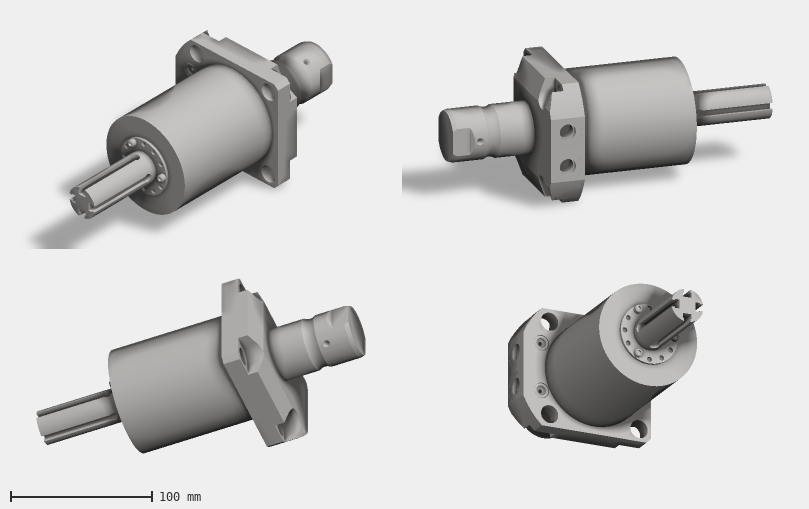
import cadquery as cq
import math


flange_thickness = 25.5
flange_half_size = 44.5
flange_left_reach = 55.7
flange_arc_radius = 60.5
flange_corner_chamfer = 3.5
back_bevel_width = 15.8
back_bevel_angle = 20

bolt_spacing = 35.0
bolt_hole_radius = 6.7
bolt_seat_radius = 9.8
bolt_seat_height = 12.5
seat_overrun = 2.5

port_offset = 13.0
port_mouth_radius = 6.0
port_mouth_depth = 3.4
port_radius = 5.3
port_depth = 12.0
port_spotface_radius = 10.5
port_spotface_depth = 0.2

seal_x = -41.3
seal_z = 18.0
seal_recess_radius = 5.8
seal_cord_radius = 1.2
seal_recess_depth = 2 * seal_cord_radius
passage_radius = 1.5
passage_depth = flange_thickness / 2

barrel_radius = 38.5
relief_groove_width = 0.5
relief_groove_depth = 0.7
barrel_length = 89.3
cover_radius = 22.3
cover_thickness = 2.2

cover_hole_count = 12
cover_circle_radius = 19.2
cover_hole_radius = 2.0
cover_hole_depth = cover_thickness
cover_screw_every = 4
screw_head_radius = 3.0
screw_head_height = 3.8
screw_head_chamfer = 0.7
screw_socket_width = 3.0
screw_socket_depth = 1.7

slotted_rod_radius = 12.5
slotted_rod_length = 63.1
slot_count = 4
slot_width = 5.0
slot_floor = 6.2
slot_step = 9.8
slot_pocket_radius = 3.4
slot_pocket_distance = 8.6

clamp_rod_radius = 19.2
clamp_rod_length = 60.0
clamp_rod_chamfer_length = 3.1
clamp_rod_chamfer_depth = 1.0
clamp_groove_start = 25.5
clamp_groove_width = 9.4
clamp_groove_depth = 1.5
flat_half_width = 16.3
flat_length = 12.7
dimple_radius = 2.6
dimple_distance = 19.5
dimple_angles = (60, 180, 300)

barrel_end = -barrel_length
cover_face = barrel_end - cover_thickness
clamp_rod_end = flange_thickness + clamp_rod_length

TOWARD_BACK = cq.Vector(0, 1, 0)


def cylinder_y(radius, y_start, y_end, x=0, z=0):
    """Cylinder parallel to Y between two stations."""
    start = cq.Vector(x, y_start, z)
    return cq.Workplane(cq.Solid.makeCylinder(radius, y_end - y_start, start, TOWARD_BACK))


def box_between(x_range, y_range, z_range):
    """Box given by its two limits along each axis."""
    ranges = (x_range, y_range, z_range)
    sizes = [high - low for low, high in ranges]
    corner = cq.Vector(*[low for low, high in ranges])
    return cq.Workplane(cq.Solid.makeBox(*sizes, corner))


def turn_about_y(shape, angle):
    return shape.rotate((0, 0, 0), (0, 1, 0), angle)


def make_flange_plate():
    """Square plate with an arc-sided nose on -X and chamfered +X corners."""
    arc_top_x = -math.sqrt(flange_arc_radius**2 - flange_half_size**2)
    nose_half_height = math.sqrt(flange_arc_radius**2 - flange_left_reach**2)
    arc_mid = flange_arc_radius * math.sqrt(0.5)
    chamfer_start = flange_half_size - flange_corner_chamfer
    return (
        cq.Workplane("XZ")
        .moveTo(arc_top_x, flange_half_size)
        .lineTo(chamfer_start, flange_half_size)
        .lineTo(flange_half_size, chamfer_start)
        .lineTo(flange_half_size, -chamfer_start)
        .lineTo(chamfer_start, -flange_half_size)
        .lineTo(arc_top_x, -flange_half_size)
        .threePointArc((-arc_mid, -arc_mid), (-flange_left_reach, -nose_half_height))
        .lineTo(-flange_left_reach, nose_half_height)
        .threePointArc((-arc_mid, arc_mid), (arc_top_x, flange_half_size))
        .close()
        .extrude(-flange_thickness)
    )


def make_back_bevel():
    """Wedge that bevels the back of the flange along its +X side."""
    bevel_drop = back_bevel_width * math.tan(math.radians(back_bevel_angle))
    return (
        cq.Workplane("XY")
        .moveTo(flange_half_size - back_bevel_width, flange_thickness)
        .lineTo(flange_half_size, flange_thickness - bevel_drop)
        .lineTo(flange_half_size, flange_thickness)
        .close()
        .extrude(flange_left_reach, both=True)
    )


def make_bolt_seat(side_x, side_z):
    """Round seat open to the Z side, and on the +X side open to +X as well."""
    x = side_x * bolt_spacing
    z = side_z * bolt_spacing
    y_range = (bolt_seat_height, flange_thickness)
    outside_z = side_z * (flange_half_size + seat_overrun)
    seat = cylinder_y(bolt_seat_radius, *y_range, x, z)
    seat = seat.union(
        box_between(
            (x - bolt_seat_radius, x + bolt_seat_radius), y_range, sorted((z, outside_z))
        )
    )
    if side_x > 0:
        inner_z = z - side_z * bolt_seat_radius
        seat = seat.union(
            box_between((x, flange_half_size + seat_overrun), y_range, sorted((inner_z, outside_z)))
        )
    return seat


def make_port(side):
    """Blind stepped port with a shallow spotface, drilled from the -X face."""
    profile = (
        cq.Workplane("XY")
        .lineTo(port_spotface_radius, 0)
        .lineTo(port_spotface_radius, port_spotface_depth)
        .lineTo(port_mouth_radius, port_spotface_depth)
        .lineTo(port_mouth_radius, port_mouth_depth)
        .lineTo(port_radius, port_mouth_depth)
        .lineTo(port_radius, port_depth)
        .lineTo(0, port_depth)
        .close()
        .revolve(360, (0, 0), (0, 1))
    )
    along_x = profile.rotate((0, 0, 0), (0, 0, 1), -90)
    return along_x.translate((-flange_left_reach, flange_thickness / 2, side * port_offset))


def make_flange():
    flange = make_flange_plate()
    for angle in (0, 90, -90):
        flange = flange.cut(turn_about_y(make_back_bevel(), angle))
    for side_x in (-1, 1):
        for side_z in (-1, 1):
            hole = cylinder_y(
                bolt_hole_radius, 0, flange_thickness, side_x * bolt_spacing, side_z * bolt_spacing
            )
            flange = flange.cut(hole).cut(make_bolt_seat(side_x, side_z))
    for side in (-1, 1):
        flange = flange.cut(make_port(side))
    return flange


def make_clamp_rod():
    """Turned rod with a tapered tip, a round groove, two flats and drilled dimples."""
    tip = clamp_rod_end
    groove_back = tip - clamp_groove_start
    groove_front = groove_back - clamp_groove_width
    groove_mid = (groove_back + groove_front) / 2
    rod = (
        cq.Workplane("XY")
        .moveTo(0, flange_thickness)
        .lineTo(clamp_rod_radius, flange_thickness)
        .lineTo(clamp_rod_radius, groove_front)
        .threePointArc(
            (clamp_rod_radius - clamp_groove_depth, groove_mid), (clamp_rod_radius, groove_back)
        )
        .lineTo(clamp_rod_radius, tip - clamp_rod_chamfer_length)
        .lineTo(clamp_rod_radius - clamp_rod_chamfer_depth, tip)
        .lineTo(0, tip)
        .close()
        .revolve(360, (0, 0), (0, 1))
    )
    flat_depth = clamp_rod_radius - flat_half_width
    flat_cutter = (
        cq.Workplane("XY")
        .moveTo(flat_half_width, tip)
        .lineTo(flat_half_width, tip - flat_length)
        .lineTo(clamp_rod_radius, tip - flat_length - flat_depth)
        .lineTo(clamp_rod_radius, tip)
        .close()
        .extrude(clamp_rod_radius, both=True)
    )
    for angle in (0, 180):
        rod = rod.cut(turn_about_y(flat_cutter, angle))
    dimple = cq.Workplane(
        cq.Solid.makeCone(
            0,
            2 * dimple_radius,
            2 * dimple_radius,
            cq.Vector(clamp_rod_radius - dimple_radius, tip - dimple_distance, 0),
            cq.Vector(1, 0, 0),
        )
    )
    for angle in dimple_angles:
        rod = rod.cut(turn_about_y(dimple, -angle))
    return rod


def make_slotted_rod():
    """Rod with lengthwise T-shaped grooves, each starting in a round pocket."""
    rod_end = cover_face - slotted_rod_length
    rod = cylinder_y(slotted_rod_radius, rod_end, cover_face)
    pocket_y = cover_face - slot_pocket_distance
    groove = box_between(
        (slot_floor, slotted_rod_radius), (rod_end, pocket_y), (-slot_width / 2, slot_width / 2)
    )
    undercut = box_between(
        (slot_floor, slot_step), (rod_end, pocket_y), (-slot_pocket_radius, slot_pocket_radius)
    )
    pocket = cq.Workplane(
        cq.Solid.makeCylinder(
            slot_pocket_radius,
            slotted_rod_radius - slot_floor,
            cq.Vector(slot_floor, pocket_y, 0),
            cq.Vector(1, 0, 0),
        )
    )
    slot = groove.union(undercut).union(pocket)
    for index in range(slot_count):
        rod = rod.cut(turn_about_y(slot, index * 360 / slot_count))
    return rod


def make_screw_head():
    """Chamfered head with a hexagon socket, standing on the cover on the +X side."""
    head_end = cover_face - screw_head_height
    head = cylinder_y(screw_head_radius, head_end, cover_face).faces("<Y").chamfer(screw_head_chamfer)
    socket = (
        cq.Workplane("XZ", origin=(0, head_end, 0))
        .polygon(6, screw_socket_width, circumscribed=True)
        .extrude(-screw_socket_depth)
    )
    return head.cut(socket).translate((cover_circle_radius, 0, 0))


def make_cover():
    """End cover with a ring of holes, every fourth one holding a screw."""
    cover = cylinder_y(cover_radius, cover_face, barrel_end)
    hole = cylinder_y(
        cover_hole_radius, cover_face, cover_face + cover_hole_depth, cover_circle_radius
    )
    for index in range(cover_hole_count):
        angle = index * 360 / cover_hole_count
        if index % cover_screw_every == 0:
            cover = cover.union(turn_about_y(make_screw_head(), angle))
        else:
            cover = cover.cut(turn_about_y(hole, angle))
    return cover


def make_cylinder_body():
    relief_radius = barrel_radius + relief_groove_width
    body = make_flange()
    body = body.cut(cylinder_y(relief_radius, 0, relief_groove_depth))
    body = body.union(cylinder_y(barrel_radius, barrel_end, relief_groove_depth))
    body = body.union(make_clamp_rod())
    body = body.union(make_cover())
    body = body.union(make_slotted_rod())
    for side in (-1, 1):
        z = side * seal_z
        body = body.cut(cylinder_y(seal_recess_radius, 0, seal_recess_depth, seal_x, z))
        body = body.cut(cylinder_y(passage_radius, 0, passage_depth, seal_x, z))
    return body.solids()


def make_seal_ring(side):
    """O-ring lying in its recess, just touching the recess wall."""
    centre = cq.Vector(seal_x, seal_cord_radius, side * seal_z)
    return cq.Solid.makeTorus(
        seal_recess_radius - seal_cord_radius, seal_cord_radius, centre, TOWARD_BACK
    )


cylinder_body = make_cylinder_body()
seal_rings = [make_seal_ring(side) for side in (-1, 1)]

result = cq.Compound.makeCompound([cylinder_body.val(), *seal_rings])